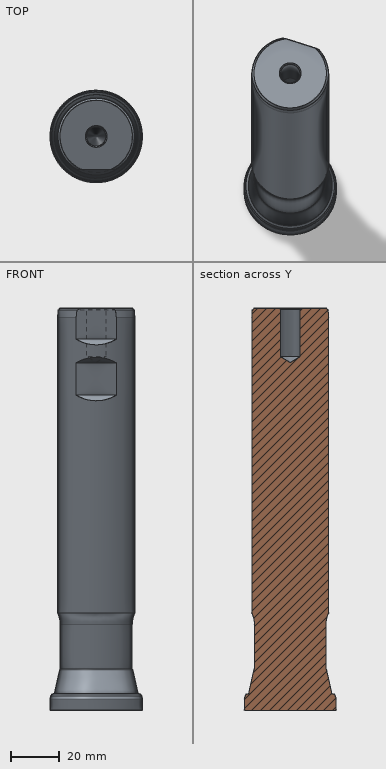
import cadquery as cq
import math

length = 165.1

shank_radius = 31.7 / 2
tip_radius = 15.7
tip_start_z = 161.3
tip_chamfer = 0.8

neck_radius = 29.5 / 2
neck_bottom_z = 17.2
neck_top_z = 35.3
shank_bottom_z = 40.1

flare_start_radius = 15.0
flare_start_z = 16.7
flare_end_radius = 17.2
flare_end_z = 7.1
head_radius = 38.0 / 2
shoulder_radius = 18.2
shoulder_z = 6.8
rim_radius = 18.7
rim_z = 6.1
rim_bottom_z = 4.8
base_chamfer = 0.3

flat_distance = 13.5
upper_flat_bottom_z = 152.4
lower_flat_top_z = 142.6
lower_flat_bottom_z = 129.5

hole_diameter = 8.0
hole_depth = 19.8
hole_chamfer = 0.5
drill_half_angle = math.radians(59)


def make_body():
    """Revolve the half outline of the shank, neck and head about Z."""
    step = shank_radius - neck_radius
    rise = shank_bottom_z - neck_top_z
    blend_radius = (step**2 + rise**2) / (2 * step)
    half_angle = math.asin(rise / blend_radius) / 2
    blend_mid_radius = neck_radius + blend_radius * (1 - math.cos(half_angle))
    blend_mid_z = neck_top_z + blend_radius * math.sin(half_angle)

    return (
        cq.Workplane("XZ")
        .moveTo(0, 0)
        .lineTo(head_radius - base_chamfer, 0)
        .lineTo(head_radius, base_chamfer)
        .lineTo(head_radius, rim_bottom_z)
        .lineTo(rim_radius, rim_z)
        .lineTo(shoulder_radius, shoulder_z)
        .lineTo(flare_end_radius, flare_end_z)
        .lineTo(flare_start_radius, flare_start_z)
        .lineTo(neck_radius, neck_bottom_z)
        .lineTo(neck_radius, neck_top_z)
        .threePointArc((blend_mid_radius, blend_mid_z), (shank_radius, shank_bottom_z))
        .lineTo(shank_radius, tip_start_z)
        .lineTo(tip_radius, length - tip_chamfer)
        .lineTo(tip_radius - tip_chamfer, length)
        .lineTo(0, length)
        .close()
        .revolve(360, (0, 0, 0), (0, 1, 0))
    )


def make_flat_cutter(bottom_z, top_z):
    """Trapezoidal prism whose floor is the flat and whose ends ramp out at 45 degrees."""
    depth = head_radius - flat_distance
    return (
        cq.Workplane("YZ")
        .moveTo(-flat_distance, bottom_z)
        .lineTo(-flat_distance, top_z)
        .lineTo(-head_radius, top_z + depth)
        .lineTo(-head_radius, bottom_z - depth)
        .close()
        .extrude(head_radius, both=True)
    )


def make_hole_cutter():
    """Drilled hole with a chamfered mouth and a conical bottom."""
    radius = hole_diameter / 2
    hole_bottom_z = length - hole_depth
    return (
        cq.Workplane("XZ")
        .moveTo(0, length)
        .lineTo(radius + hole_chamfer, length)
        .lineTo(radius, length - hole_chamfer)
        .lineTo(radius, hole_bottom_z)
        .lineTo(0, hole_bottom_z - radius / math.tan(drill_half_angle))
        .close()
        .revolve(360, (0, 0, 0), (0, 1, 0))
    )


result = (
    make_body()
    .cut(make_flat_cutter(upper_flat_bottom_z, length))
    .cut(make_flat_cutter(lower_flat_bottom_z, lower_flat_top_z))
    .cut(make_hole_cutter())
)